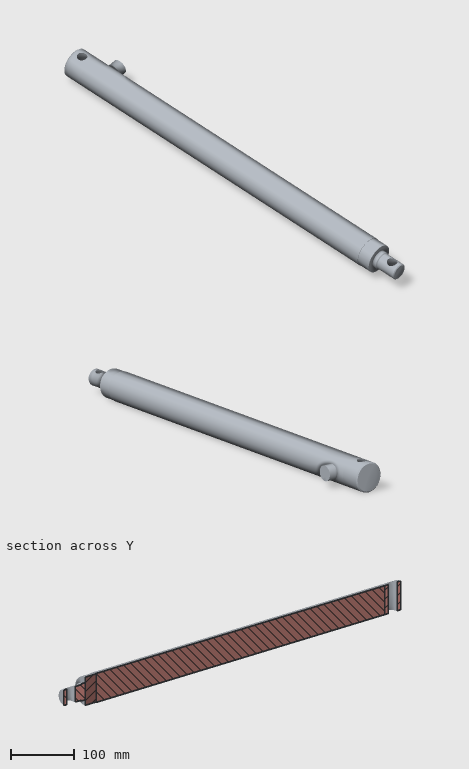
import cadquery as cq

total_length = 684.0
barrel_diameter = 50.0
barrel_radius = barrel_diameter / 2

base_length = 34.0
base_chamfer = 2.0

gland_start = 618.0
gland_end = 641.0
gland_diameter = 48.5

collar_diameter = 30.0
collar_end = 649.0
eye_diameter = 27.5
collar_chamfer = (collar_diameter - eye_diameter) / 2
eye_chamfer = 1.5

pin_hole_diameter = 16.5
base_hole_inset = 17.0
eye_hole_inset = 15.0

port_x = 61.0
port_diameter = 25.0
port_height = 15.0
port_end_y = barrel_radius + port_height


def rod_along_x(start, end, diameter):
    """Solid cylinder on the X axis between two stations."""
    return cq.Workplane("YZ", origin=(start, 0, 0)).circle(diameter / 2).extrude(end - start)


def pin_hole(x):
    """Vertical cutter for a cross pin through the full diameter."""
    return (
        cq.Workplane("XY", origin=(x, 0, 0))
        .circle(pin_hole_diameter / 2)
        .extrude(barrel_diameter, both=True)
    )


def make_base():
    """End plug with a chamfered outer face and a cross pin hole."""
    plug = rod_along_x(0, base_length, barrel_diameter)
    plug = plug.faces("<X").chamfer(base_chamfer)
    return plug.cut(pin_hole(base_hole_inset))


def make_barrel():
    """Long barrel between the base and the gland."""
    return rod_along_x(base_length, gland_start, barrel_diameter)


def make_gland():
    """Slightly narrower head closing the rod end of the barrel."""
    return rod_along_x(gland_start, gland_end, gland_diameter)


def make_rod_end():
    """Chamfered collar and rod eye with a cross pin hole."""
    collar = rod_along_x(gland_end, collar_end, collar_diameter)
    collar = collar.faces(">X").chamfer(collar_chamfer)
    eye = rod_along_x(collar_end, total_length, eye_diameter)
    eye = eye.faces(">X").chamfer(eye_chamfer)
    return collar.union(eye).cut(pin_hole(total_length - eye_hole_inset))


def make_port():
    """Round boss on the +Y side whose flat foot rests tangent to the barrel."""
    return (
        cq.Workplane("XZ", origin=(port_x, port_end_y, 0))
        .circle(port_diameter / 2)
        .extrude(port_height)
    )


base = make_base()
barrel = make_barrel()
gland = make_gland()
rod_end = make_rod_end()
port = make_port()

result = cq.Compound.makeCompound(
    [base.val(), barrel.val(), gland.val(), rod_end.val(), port.val()]
)